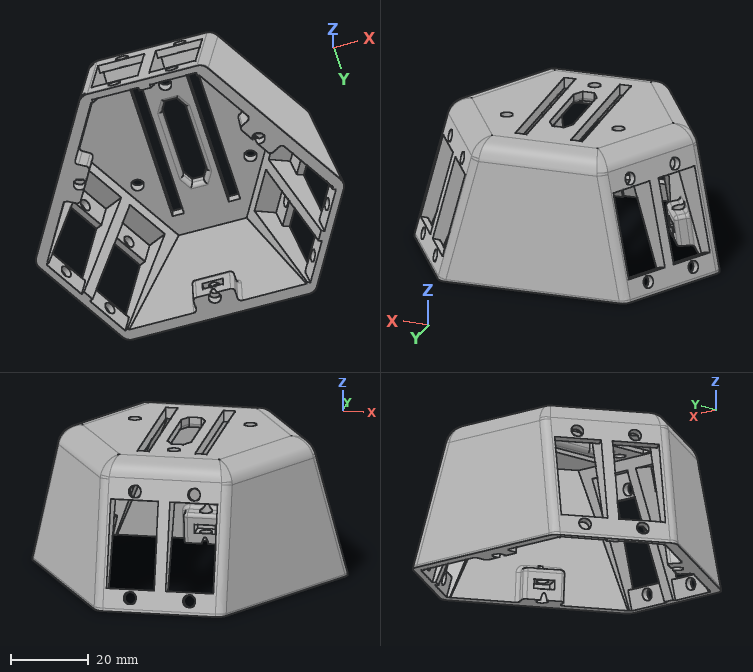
import cadquery as cq
import math

height = 38.0
plain_apothem = 33.6
window_apothem = 38.7
window_draft = 15.0
band_height = 0.5
rim_radius = 6.0
corner_radius = 3.0
plain_angles = (90, 210, 330)
window_angles = (-90, 30, 150)

roof = 3.0
cavity_plain_apothem = 30.5
cavity_window_apothem = 35.9
cavity_window_lean = 0.43

screw_diameter = 3.2
roof_screw_circle = 17.5

slot_width = 3.05
slot_length = 40.0
slot_pitch = 15.1
hex_radius = 3.1
hex_travel = 19.5
hex_slot_round = 1.15

window_width = 12.45
window_height = 23.0
window_pitch = 15.5
window_screw_pitch = 27.5
window_middle = 16.9
panel = 2.0
pocket_height = 36.3
pocket_depth = 9.9

boss_width = 11.1
boss_depth = 4.1
boss_height = 8.8
boss_round = 1.0
boss_hole_offset = 27.7
nut_width = 5.5
nut_thickness = 2.4
nut_level = 2.9

window_lean = math.tan(math.radians(window_draft))
plain_lean = window_lean / 2
plain_draft = math.degrees(math.atan(plain_lean))
through = 3 * roof
tolerance = 0.1


def hexagon(plain, window):
    """Corners of the six-sided section whose two kinds of side lie at the given apothems."""
    half_side = (plain - window * math.cos(math.radians(60))) / math.sin(math.radians(60))
    corners = []
    for angle in window_angles:
        turn = math.radians(angle)
        for along in (-half_side, half_side):
            x = window * math.cos(turn) - along * math.sin(turn)
            y = window * math.sin(turn) + along * math.cos(turn)
            corners.append((x, y))
    return corners


def frustum(plain, window, lean, bottom, top):
    """Leaning-sided block with its apothems given at the bottom and the lean of its windowed sides."""
    rise = top - bottom
    upper = hexagon(plain - rise * plain_lean, window - rise * lean)
    block = cq.Workplane("XY").workplane(offset=bottom).polyline(hexagon(plain, window)).close()
    return block.workplane(offset=rise).polyline(upper).close().loft(ruled=True)


def turned(solid, angle):
    return solid.rotate((0, 0, 0), (0, 0, 1), angle)


def is_corner_or_band_edge(edge):
    """Rising edges between the sides, and the level edges on top of the foot band."""
    box = edge.BoundingBox()
    return box.zlen > tolerance or abs(box.zmax - band_height) < tolerance


def outer_body():
    band = cq.Workplane("XY").polyline(hexagon(plain_apothem, window_apothem)).close().extrude(band_height)
    body = band.union(frustum(plain_apothem, window_apothem, window_lean, band_height, height))
    body = body.faces(">Z").edges().fillet(rim_radius)
    return body.edges().filter(is_corner_or_band_edge).fillet(corner_radius)


def boss():
    """Rounded block standing square on the +Y cavity wall and cut off level at the foot."""
    spare = 2.5
    block = cq.Workplane("XY").box(boss_width, boss_depth + spare, boss_height + spare,
                                   centered=(True, False, False))
    block = block.translate((0, -boss_depth, -spare))
    block = block.edges("(<Y and |Z) or (>Z and (not >Y))").fillet(boss_round)
    block = block.rotate((0, 0, 0), (1, 0, 0), plain_draft).translate((0, cavity_plain_apothem, 0))
    below = cq.Workplane("XY").box(4 * boss_width, 4 * cavity_plain_apothem, 2 * spare,
                                   centered=(True, True, False))
    return block.cut(below.translate((0, 0, -2 * spare)))


def cavity():
    """Inner space with the three bosses left standing and blended into the plain walls."""
    space = frustum(cavity_plain_apothem, cavity_window_apothem, cavity_window_lean, 0, height - roof)
    wall_at_boss_top = cavity_plain_apothem - boss_height * plain_lean
    boss_foot = cq.selectors.BoxSelector(
        (-boss_width / 2 - tolerance, wall_at_boss_top - tolerance, tolerance),
        (boss_width / 2 + tolerance, cavity_plain_apothem, boss_height + tolerance))
    for _ in plain_angles:
        space = space.cut(boss()).edges(boss_foot).fillet(boss_round)
        space = turned(space, 120)
    return space


def boss_cuts():
    """Upright screw hole and the nut slot, which opens toward the axis of the part."""
    hole = cq.Workplane("XY").center(0, boss_hole_offset).circle(screw_diameter / 2)
    hole = hole.extrude(boss_height + boss_round)
    slot_end = boss_hole_offset + nut_width / 2
    slot = cq.Workplane("XY").box(nut_width, 2 * boss_depth, nut_thickness, centered=(True, False, False))
    return hole.union(slot.translate((0, slot_end - 2 * boss_depth, nut_level)))


def window_cuts():
    """Two windows with their screw holes on the -Y side, and the pockets behind them."""
    draft = math.radians(window_draft)
    face_y = window_apothem - (window_middle - band_height) * window_lean
    face = cq.Workplane(cq.Plane(origin=(0, -face_y, window_middle), xDir=(1, 0, 0),
                                 normal=(0, -math.cos(draft), math.sin(draft))))
    openings = face.rarray(window_pitch, 0.8, 2, 1).rect(window_width, window_height)
    openings = openings.extrude(2 * panel, both=True)
    screws = face.rarray(window_pitch, window_screw_pitch, 2, 2).circle(screw_diameter / 2)
    screws = screws.extrude(2 * panel, both=True)
    pockets = face.workplane(offset=-panel).rarray(window_pitch, 0.8, 2, 1).rect(window_width, pocket_height)
    pockets = pockets.extrude(-pocket_depth)
    return openings.union(screws).union(pockets)


def hex_slot():
    """Middle slot: the outline swept by a hexagon travelling along Y."""
    end = hex_travel / 2
    tip = end + hex_radius * math.sin(math.radians(60))
    outline = [(hex_radius, end), (hex_radius / 2, tip), (-hex_radius / 2, tip),
               (-hex_radius, end), (-hex_radius, -end), (-hex_radius / 2, -tip),
               (hex_radius / 2, -tip), (hex_radius, -end)]
    return cq.Workplane("XY").workplane(offset=height).polyline(outline).close().extrude(-through)


def roof_cuts():
    """Two straight slots and three screw holes through the roof."""
    top = cq.Workplane("XY").workplane(offset=height)
    slots = top.rarray(slot_pitch, 0.8, 2, 1).rect(slot_width, slot_length).extrude(-through)
    screws = top.polarArray(roof_screw_circle, 30, 360, 3).circle(screw_diameter / 2).extrude(-through)
    return slots.union(screws)


result = outer_body().cut(cavity()).cut(hex_slot())

ceiling = height - roof
hex_slot_reach = hex_travel / 2 + hex_radius
hex_slot_rim = cq.selectors.BoxSelector(
    (-hex_radius - tolerance, -hex_slot_reach, ceiling - tolerance),
    (hex_radius + tolerance, hex_slot_reach, ceiling + tolerance))
result = result.edges(hex_slot_rim).fillet(hex_slot_round)

result = result.cut(roof_cuts())
for angle in plain_angles:
    result = result.cut(turned(boss_cuts(), angle - 90))
for angle in window_angles:
    result = result.cut(turned(window_cuts(), angle + 90))